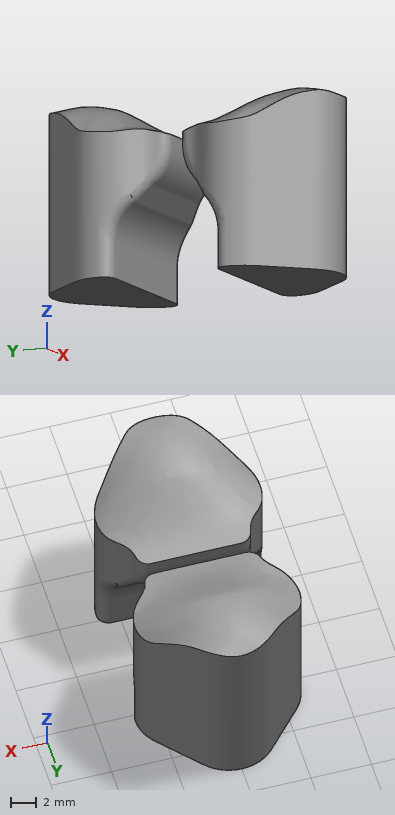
import cadquery as cq
import math

total_length = 25.18
gap = 1.0
tip_y = -total_length / 2
face_y = -gap / 2
blank_height = 17.63

half_width = 6.77
nose_radius = 3.78
shoulder_radius = 3.65
shoulder_y = tip_y + 7.05
flank_angle = math.radians(47)
waist_angle = math.radians(42)
waist_length = 0.65
face_half_width = 4.68

undercut_depth = 4.03
foot_y = face_y - undercut_depth
foot_height = 3.02
lip_height = 10.7
undercut_radius = 4.03
undercut_angle = math.radians(50)
corner_radius = 1.0

crown_half_width = 7.55
crown_sections = [
    (-0.25, 14.23, 1.0),
    (1.2, 14.8, 2.65),
    (2.45, 15.1, 4.15),
    (3.35, 15.15, 4.48),
    (4.48, 15.03, 4.38),
    (5.4, 14.85, 3.98),
    (7.05, 14.15, 2.97),
    (8.3, 13.42, 2.25),
    (9.82, 12.56, 1.1),
    (11.08, 11.9, 0.13),
    (12.35, 11.6, 0.05),
]


def point_on_arc(center, radius, angle):
    return (center[0] + radius * math.cos(angle), center[1] + radius * math.sin(angle))


def make_half_plan():
    """Right half of a prism with a round nose, wide shoulders and a narrower inner end."""
    nose_center = (0, tip_y + nose_radius)
    shoulder_center = (half_width - shoulder_radius, shoulder_y)
    flank_normal = flank_angle - math.pi / 2
    nose_middle = point_on_arc(nose_center, nose_radius, (flank_angle - math.pi) / 2)
    nose_end = point_on_arc(nose_center, nose_radius, flank_normal)
    shoulder_start = point_on_arc(shoulder_center, shoulder_radius, flank_normal)
    shoulder_end = point_on_arc(shoulder_center, shoulder_radius, waist_angle)
    waist_end = (
        shoulder_end[0] - waist_length * math.sin(waist_angle),
        shoulder_end[1] + waist_length * math.cos(waist_angle),
    )
    return (
        cq.Workplane("XY")
        .moveTo(0, tip_y)
        .threePointArc(nose_middle, nose_end)
        .lineTo(*shoulder_start)
        .threePointArc((half_width, shoulder_y), shoulder_end)
        .lineTo(*waist_end)
        .tangentArcPoint((face_half_width, face_y), relative=False)
        .lineTo(0, face_y)
        .close()
        .extrude(blank_height)
    )


def make_side_blank():
    """Slab along X whose inner side carries the foot, undercut and lip."""
    foot_center = (foot_y + undercut_radius, foot_height)
    lip_center = (face_y - undercut_radius, lip_height)
    half_angle = undercut_angle / 2
    return (
        cq.Workplane("YZ")
        .moveTo(tip_y, 0)
        .lineTo(foot_y, 0)
        .lineTo(foot_y, foot_height)
        .threePointArc(
            point_on_arc(foot_center, undercut_radius, math.pi - half_angle),
            point_on_arc(foot_center, undercut_radius, math.pi - undercut_angle),
        )
        .lineTo(*point_on_arc(lip_center, undercut_radius, -undercut_angle))
        .threePointArc(
            point_on_arc(lip_center, undercut_radius, -half_angle),
            (face_y, lip_height),
        )
        .lineTo(face_y, blank_height)
        .lineTo(tip_y, blank_height)
        .close()
        .extrude(half_width + 0.25, both=True)
    )


def is_inner_side_edge(edge):
    """True for the edges along the curved side of the inner face."""
    middle = edge.positionAt(0.5)
    tolerance = 0.003
    on_side = middle.x > tolerance and tolerance < middle.z < blank_height - tolerance
    vertical = abs(edge.tangentAt(0.5).z) > 1 - 1e-6
    on_flat = min(abs(middle.y - foot_y), abs(middle.y - face_y)) < tolerance
    return on_side and (on_flat or not vertical)


def make_crown():
    """Solid below the domed top, lofted through parabolic cross-sections."""
    wires = []
    for distance, ridge, fall in crown_sections:
        y = tip_y + distance
        left_top = cq.Vector(-crown_half_width, y, ridge - fall)
        right_top = cq.Vector(crown_half_width, y, ridge - fall)
        control = cq.Vector(0, y, ridge + fall)
        left_base = cq.Vector(-crown_half_width, y, 0)
        right_base = cq.Vector(crown_half_width, y, 0)
        wires.append(
            cq.Wire.assembleEdges(
                [
                    cq.Edge.makeBezier([left_top, control, right_top]),
                    cq.Edge.makeLine(right_top, right_base),
                    cq.Edge.makeLine(right_base, left_base),
                    cq.Edge.makeLine(left_base, left_top),
                ]
            )
        )
    return cq.Workplane(cq.Solid.makeLoft(wires))


def make_jaw():
    blank = make_half_plan().intersect(make_side_blank())
    side_edges = blank.edges().filter(is_inner_side_edge)
    right_half = side_edges.fillet(corner_radius)
    column = right_half.union(right_half.mirror("YZ")).clean()
    return column.intersect(make_crown()).solids()


front_jaw = make_jaw()
back_jaw = front_jaw.mirror("XZ")

result = cq.Compound.makeCompound([front_jaw.val(), back_jaw.val()])